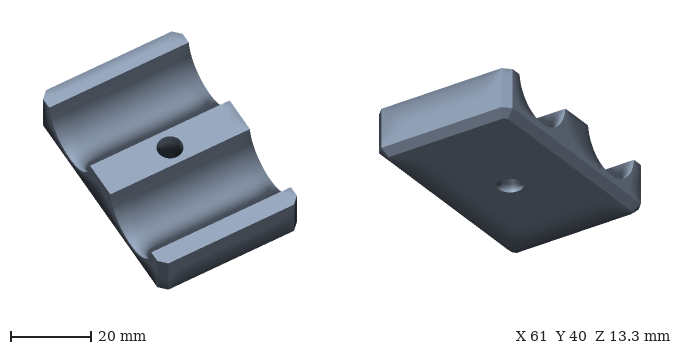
import cadquery as cq

length = 61.0
width = 40.0
height = 13.25
chamfer = 2.0

groove_radius = 10.25
groove_axis_rise = 1.0
groove_spacing = length / 2

hole_diameter = 6.7


def make_block():
    """Block standing on Z = 0, chamfered on its upright and bottom edges."""
    block = cq.Workplane("XY").box(length, width, height, centered=(True, True, False))
    return block.edges("|Z").chamfer(chamfer).faces("<Z").edges().chamfer(chamfer)


def make_grooves():
    """Cylinders along Y that cut both pipe grooves."""
    return (
        cq.Workplane("XZ", origin=(0, 0, height + groove_axis_rise))
        .rarray(groove_spacing, 0.6, 2, 1)
        .circle(groove_radius)
        .extrude(width, both=True)
    )


def make_bolt_hole():
    """Cylinder that cuts the vertical through hole."""
    return cq.Workplane("XY").circle(hole_diameter / 2).extrude(height)


result = make_block().cut(make_grooves()).cut(make_bolt_hole())